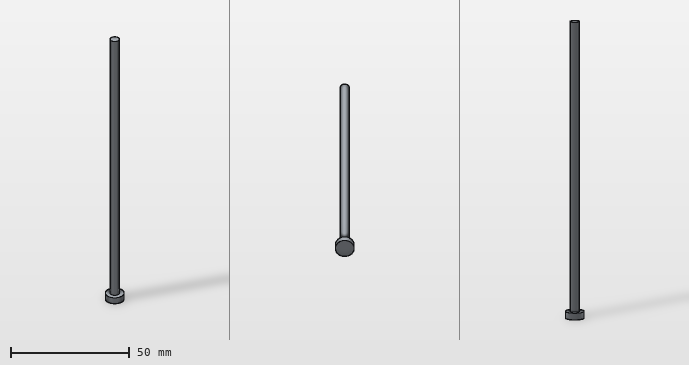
import cadquery as cq

total_length = 128.0
head_diameter = 8.0
head_height = 3.0
shaft_diameter = 4.0

head = cq.Workplane("XY").circle(head_diameter / 2).extrude(head_height)

shaft = (
    cq.Workplane("XY")
    .workplane(offset=head_height)
    .circle(shaft_diameter / 2)
    .extrude(total_length - head_height)
)

result = head.union(shaft)